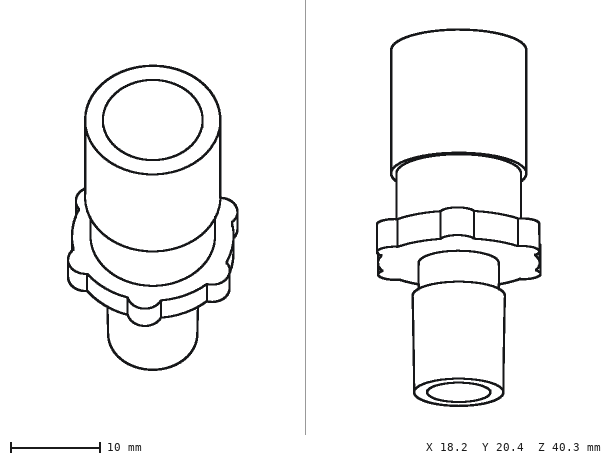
import cadquery as cq
import math

total_height = 40.3
socket_diameter = 15.2
neck_diameter = 14.0
socket_bottom = 25.8
collar_top = 18.5
collar_bottom = 15.25
collar_diameter = 18.15
lobe_count = 6
lobe_tip_radius = 10.215
lobe_radius = 1.97
socket_bore_diameter = 11.2

stem_diameter = 9.0
stem_bore_diameter = 7.1
barb_top = 11.35
barb_top_diameter = 10.4
barb_bottom_diameter = 10.05
stem_rim_width = 0.15

seat_round = 2.4
seat_width = (socket_bore_diameter - stem_diameter) / 2
seat_height = math.sqrt(seat_round**2 - (seat_round - seat_width)**2)
stem_entry_round = (stem_diameter - stem_bore_diameter) / 2 - stem_rim_width
socket_floor = collar_top
stem_top = socket_floor - seat_height


def cylinder(diameter, bottom, top):
    """Upright cylinder on the Z axis between two heights."""
    return cq.Workplane("XY").workplane(offset=bottom).circle(diameter / 2).extrude(top - bottom)


def make_collar():
    """Round collar with evenly spaced rounded grip lobes, one of them on +Y."""
    collar = cylinder(collar_diameter, collar_bottom, collar_top)
    lobes = (
        cq.Workplane("XY")
        .workplane(offset=collar_bottom)
        .polarArray(lobe_tip_radius - lobe_radius, 90, 360, lobe_count)
        .circle(lobe_radius)
        .extrude(collar_top - collar_bottom, combine=False)
    )
    for lobe in lobes.solids().vals():
        collar = collar.union(cq.Workplane(lobe))
    return collar


def make_seat_cutter():
    """Socket bore that narrows through a convex round to the stem hole."""
    bore_radius = socket_bore_diameter / 2
    hole_radius = stem_diameter / 2
    return (
        cq.Workplane("XZ")
        .moveTo(0, collar_bottom)
        .lineTo(hole_radius, collar_bottom)
        .lineTo(hole_radius, stem_top)
        .radiusArc((bore_radius, socket_floor), seat_round)
        .lineTo(bore_radius, total_height)
        .lineTo(0, total_height)
        .close()
        .revolve(360, (0, 0, 0), (0, 1, 0))
    )


def make_sleeve():
    """Socket, neck and lobed collar with the stepped bore through them."""
    socket = cylinder(socket_diameter, socket_bottom, total_height)
    neck = cylinder(neck_diameter, collar_bottom, socket_bottom)
    return make_collar().union(neck).union(socket).cut(make_seat_cutter())


def make_stem():
    """Tubular stem with a tapered barb below and a rounded bore entry above."""
    bore_radius = stem_bore_diameter / 2
    outer_radius = stem_diameter / 2
    return (
        cq.Workplane("XZ")
        .moveTo(bore_radius, 0)
        .lineTo(barb_bottom_diameter / 2, 0)
        .lineTo(barb_top_diameter / 2, barb_top)
        .lineTo(outer_radius, barb_top)
        .lineTo(outer_radius, stem_top)
        .lineTo(outer_radius - stem_rim_width, stem_top)
        .radiusArc((bore_radius, stem_top - stem_entry_round), -stem_entry_round)
        .close()
        .revolve(360, (0, 0, 0), (0, 1, 0))
    )


sleeve = make_sleeve()
stem = make_stem()

result = cq.Compound.makeCompound([sleeve.val(), stem.val()])